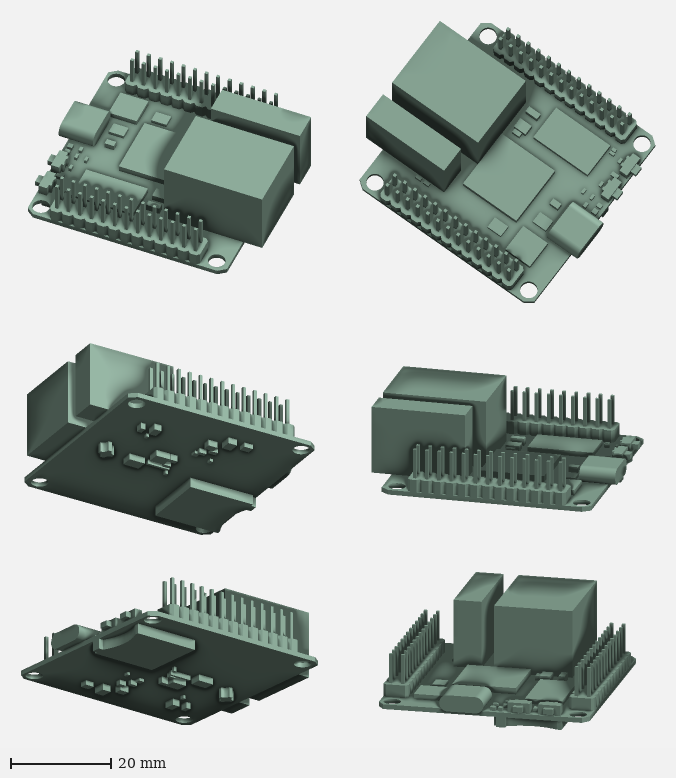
import cadquery as cq

board_size = 43.2
board_thickness = 1.0
corner_cut_x = 1.6
corner_cut_y = 1.25

pattern_center_x = -0.25
hole_spacing = 38.1
hole_diameter = 3.5

pin_count = 13
pin_pitch = 2.5
pin_width = 0.65
pin_top = 9.7
header_height = 2.6
header_width = 5.1
header_row_y = (board_size - header_width) / 2
header_notch = 0.6

usb_width = 9.05
usb_height = 3.4
usb_center_y = 3.95
usb_left = -23.4
usb_right = -16.0

overall_length = 49.15
connector_right = usb_left + overall_length
connector_height = 13.9
network_jack_left = 4.45
network_jack_front = -12.25
network_jack_back = 3.85
upright_usb_left = 6.45
upright_usb_front = 6.9
upright_usb_back = 12.6

button_positions_y = (-7.32, -13.55)
button_height = 2.1
button_left = -21.25
button_body_depth = 1.8
button_body_width = 4.5
button_tail_depth = 0.55
button_tail_width = 2.5
button_recess_depth = 0.2
button_recess_width = 1.15
knob_left = -22.5
knob_width = 1.95
knob_bottom = 1.47
knob_top = 2.6

card_left = -20.55
card_right = -6.1
card_front = -15.95
card_back = -2.05
card_depth = 2.1
card_lug_left = -board_size / 2
card_lug_front = -4.65
card_lug_back = -2.75
card_scoop_front = -15.05
card_scoop_sag = 1.25

post_center = (15.35, 1.25)
post_size = 3.1
post_arm_width = 0.8
post_depth = card_depth

top_chips = [
    (-8.95, 4.3, -3.85, 9.2, 1.3),
    (-14.65, -1.25, -14.7, -7.05, 1.1),
    (-16.75, -10.65, 9.2, 15.25, 1.1),
]
top_passives = [
    (-8.25, -4.95, 10.95, 13.45, 0.7),
    (-14.8, -11.55, 4.7, 7.25, 0.7),
    (-14.1, -12.1, 1.0, 2.25, 1.2),
    (1.1, 2.85, -6.35, -5.4, 1.0),
    (0.35, 3.2, -8.65, -6.5, 1.3),
    (0.35, 3.2, -11.65, -10.35, 1.47),
    (-20.85, -19.75, -2.4, -1.35, 0.75),
    (-20.85, -19.75, -3.85, -2.95, 0.75),
    (-18.35, -17.65, -2.4, -1.35, 0.75),
    (-19.75, -18.2, -10.75, -9.9, 0.75),
    (-16.35, -15.3, -14.0, -13.4, 0.75),
    (-16.15, -15.3, -14.85, -14.15, 0.75),
    (9.6, 10.85, 12.95, 13.6, 0.7),
    (11.55, 12.85, 12.95, 13.6, 0.7),
]

resistor_size = (0.6, 1.15, 0.75)
resistor_centers = [(-18.05, -4.0), (-15.95, -4.0), (-17.9, -7.25), (-18.05, -13.4)]

bottom_parts = [
    (-6.05, -4.05, 13.8, 16.3, 1.35),
    (-3.15, -1.1, 11.85, 13.45, 1.35),
    (0.8, 2.4, 3.5, 4.5, 1.35),
    (2.5, 5.7, 1.95, 4.5, 1.35),
    (6.0, 9.55, -1.95, 0.5, 1.35),
    (9.95, 11.55, 11.5, 13.8, 1.35),
    (13.15, 14.1, 11.2, 12.8, 1.35),
    (-9.85, -7.85, 14.45, 16.08, 1.0),
    (-4.7, -3.15, 10.05, 11.1, 1.0),
    (-2.95, -1.4, 8.65, 9.55, 1.0),
    (-0.6, 0.05, -2.25, -1.5, 1.0),
    (0.15, 5.1, -0.3, 0.25, 1.0),
    (0.6, 2.05, 0.65, 1.5, 1.0),
    (-6.05, -5.4, 5.8, 6.85, 0.6),
    (-2.15, -1.1, 6.9, 8.15, 0.6),
    (10.3, 10.9, 8.65, 9.55, 0.75),
]


def block(x_min, x_max, y_min, y_max, z_min, z_max):
    size = (x_max - x_min, y_max - y_min, z_max - z_min)
    return cq.Workplane("XY").box(*size, centered=False).translate((x_min, y_min, z_min))


def on_top(x_min, x_max, y_min, y_max, height):
    return block(x_min, x_max, y_min, y_max, board_thickness, board_thickness + height)


def below(x_min, x_max, y_min, y_max, depth):
    return block(x_min, x_max, y_min, y_max, -depth, 0)


def join(parts):
    """Fuse touching parts into one solid in a single operation."""
    first, *others = [part.val() for part in parts]
    return cq.Workplane(first.fuse(*others)).clean()


def make_board():
    half = board_size / 2
    quarter = [(half, half - corner_cut_y), (half - corner_cut_x, half)]
    outline = quarter + [(-x, y) for x, y in reversed(quarter)]
    outline += [(-x, -y) for x, y in outline]
    return (
        cq.Workplane("XY")
        .polyline(outline)
        .close()
        .extrude(board_thickness)
        .faces(">Z")
        .workplane(origin=(pattern_center_x, 0, board_thickness))
        .rect(hole_spacing, hole_spacing, forConstruction=True)
        .vertices()
        .hole(hole_diameter)
    )


def make_header(center_y):
    """Strip of chamfered cells, each carrying two pins."""
    cell = (
        cq.Workplane("XY")
        .rect(pin_pitch, header_width)
        .extrude(header_height)
        .edges("|Z")
        .chamfer(header_notch)
    )
    pins = (
        cq.Workplane("XY")
        .rarray(0.5, pin_pitch, 1, 2)
        .rect(pin_width, pin_width)
        .extrude(pin_top - board_thickness)
    )
    cell = cell.union(pins)
    first_x = pattern_center_x - (pin_count - 1) / 2 * pin_pitch
    cells = [cell.translate((first_x + i * pin_pitch, center_y, board_thickness)) for i in range(pin_count)]
    return join(cells)


def make_usb():
    return (
        cq.Workplane("YZ", origin=(usb_left, usb_center_y, board_thickness + usb_height / 2))
        .slot2D(usb_width, usb_height)
        .extrude(usb_right - usb_left)
    )


def make_button(center_y):
    def part(x_min, x_max, width, z_min, z_max):
        return block(x_min, x_max, center_y - width / 2, center_y + width / 2, z_min, z_max)

    top = board_thickness + button_height
    body_right = button_left + button_body_depth
    tail_right = body_right + button_tail_depth
    body = part(button_left, body_right, button_body_width, board_thickness, top)
    tail = part(body_right, tail_right, button_tail_width, board_thickness, top)
    recess = part(tail_right - button_recess_depth, tail_right, button_recess_width, board_thickness, top)
    knob = part(knob_left, button_left, knob_width, knob_bottom, knob_top)
    return body.union(tail.cut(recess)).union(knob)


def make_card_socket():
    """Card socket with a lug at one corner and a shallow finger scoop in its left side."""
    scoop_middle_y = (card_scoop_front + card_lug_front) / 2
    return (
        cq.Workplane("XY")
        .moveTo(card_right, card_front)
        .lineTo(card_right, card_back)
        .lineTo(card_left, card_back)
        .lineTo(card_left, card_lug_back)
        .lineTo(card_lug_left, card_lug_back)
        .lineTo(card_lug_left, card_lug_front)
        .lineTo(card_left, card_lug_front)
        .threePointArc((card_left + card_scoop_sag, scoop_middle_y), (card_left, card_scoop_front))
        .lineTo(card_left, card_front)
        .close()
        .extrude(-card_depth)
    )


def make_post():
    """Square post with a round bite out of each corner, leaving a cross."""
    bite_radius = (post_size - post_arm_width) / 2
    square = cq.Workplane("XY", origin=(*post_center, 0)).rect(post_size, post_size)
    bites = (
        cq.Workplane("XY", origin=(*post_center, 0))
        .rect(post_size, post_size, forConstruction=True)
        .vertices()
        .circle(bite_radius)
        .extrude(-post_depth)
    )
    return square.extrude(-post_depth).cut(bites)


def make_tall_connectors():
    network_jack = on_top(
        network_jack_left, connector_right, network_jack_front, network_jack_back, connector_height
    )
    upright_usb = on_top(
        upright_usb_left, connector_right, upright_usb_front, upright_usb_back, connector_height
    )
    return [network_jack, upright_usb]


def make_resistor(center_x, center_y):
    length_x, length_y, height = resistor_size
    return on_top(
        center_x - length_x / 2,
        center_x + length_x / 2,
        center_y - length_y / 2,
        center_y + length_y / 2,
        height,
    )


parts = [make_board(), make_usb(), make_card_socket(), make_post()]
parts += [make_header(side * header_row_y) for side in (-1, 1)]
parts += make_tall_connectors()
parts += [make_button(y) for y in button_positions_y]
parts += [on_top(*chip) for chip in top_chips + top_passives]
parts += [make_resistor(*center) for center in resistor_centers]
parts += [below(*component) for component in bottom_parts]

result = join(parts)